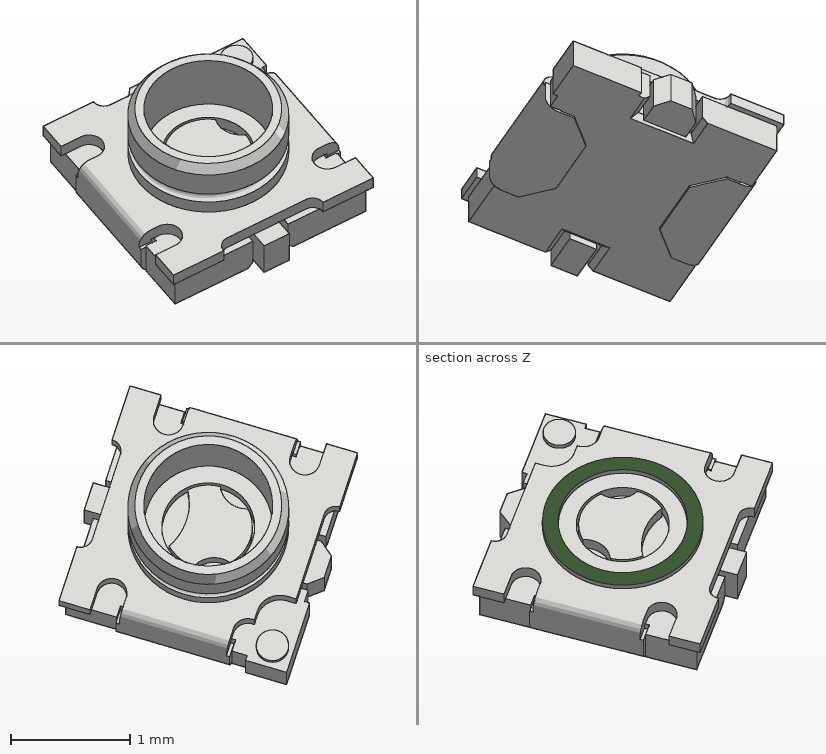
import cadquery as cq

BODY_HALF = 1.0
HEIGHT = 1.0
TERMINAL_REACH = 1.05

SHEET = 0.12
PLATE_BOTTOM = 0.334
PLATE_TOP = PLATE_BOTTOM + SHEET
BARREL_DIA = 1.35
BARREL_RIM_DIA = 1.23
BARREL_BORE_DIA = 1.08
BARREL_BEVEL_HEIGHT = 0.08
GROOVE_BOTTOM = 0.58
GROOVE_RADIUS = 0.05
PLATE_HOLE_DIA = 0.78

SLOT_INNER_X = 0.47
SLOT_OUTER_X = 0.727
SLOT_INNER_END_Y = 0.675
SIDE_EDGE_X = 0.895
SIDE_RECESS_HALF = 0.495
SIDE_RECESS_FILLET = 0.1
CORNER_CUT_X = -0.615
CORNER_CUT_Y = 0.393
CORNER_CUT_FILLET = 0.2

LEG_HALF_WIDTH = 0.5
LEG_SHOULDER_Z = 0.307
FOOT_END_Y = 0.491
FOOT_TAPER_Y = 0.725

HOUSING_HALF = 0.955
HOUSING_BOTTOM = 0.02
MARK_BLOCK_X = -0.638
MARK_BLOCK_Y = 0.353
LEG_SLOT_HALF_WIDTH = 0.506
LEG_SLOT_FLOOR_Y = 0.85
NOTCH_CLEARANCE = 0.05
NOTCH_BEVEL = 0.05
NOTCH_BEVEL_ANGLE = 45

SIGNAL_INNER_X = 0.752
SIGNAL_HALF_WIDTH = 0.2
SIGNAL_TIP_HALF_WIDTH = 0.1
SIGNAL_BEVEL_LENGTH = 0.12
SWITCH_INNER_X = 0.71
SWITCH_HALF_WIDTH = 0.125

MARK_DIA = 0.273
MARK_HEIGHT = 0.042
MARK_X = -0.82
MARK_Y = 0.82
INSULATOR_DIA = 0.74
SIDE_SCALLOP_RADIUS = 0.22
SIDE_SCALLOP_X = -0.193
SIDE_SCALLOP_Y = 0.458
END_SCALLOP_RADIUS = 0.525
END_SCALLOP_X = 0.716


def block(x_min, x_max, y_min, y_max, z_min, z_max):
    """Box between the given limits."""
    size = (x_max - x_min, y_max - y_min, z_max - z_min)
    return cq.Workplane("XY").box(*size, centered=False).translate((x_min, y_min, z_min))


def cylinder(diameter, z_min, z_max, x=0.0, y=0.0):
    """Upright cylinder between two heights."""
    return cq.Workplane("XY", origin=(x, y, z_min)).circle(diameter / 2).extrude(z_max - z_min)


def relief_slot(x_side, y_side):
    """Round-ended slot between a leg and a plate corner, open to the plate edge."""
    width = SLOT_OUTER_X - SLOT_INNER_X
    x_mid = x_side * (SLOT_INNER_X + SLOT_OUTER_X) / 2
    arc_y = SLOT_INNER_END_Y + width / 2
    round_end = cylinder(width, PLATE_BOTTOM, PLATE_TOP, x_mid, y_side * arc_y)
    y_min, y_max = sorted((y_side * arc_y, y_side * BODY_HALF))
    straight = block(x_mid - width / 2, x_mid + width / 2, y_min, y_max, PLATE_BOTTOM, PLATE_TOP)
    return straight.union(round_end)


def plate():
    """Flat square plate with relief slots, side recesses and one corner cut away."""
    body = block(-BODY_HALF, BODY_HALF, -BODY_HALF, BODY_HALF, PLATE_BOTTOM, PLATE_TOP)
    for x_side in (-1, 1):
        recess = (
            block(SIDE_EDGE_X, 2 * BODY_HALF, -SIDE_RECESS_HALF, SIDE_RECESS_HALF, PLATE_BOTTOM, PLATE_TOP)
            .edges("|Z and <X").fillet(SIDE_RECESS_FILLET)
        )
        if x_side < 0:
            recess = recess.mirror("YZ")
        body = body.cut(recess)
    for y_side in (-1, 1):
        y_min, y_max = sorted((y_side * (BODY_HALF - SHEET), y_side * BODY_HALF))
        body = body.cut(block(-SLOT_OUTER_X, SLOT_OUTER_X, y_min, y_max, PLATE_BOTTOM, PLATE_TOP))
        for x_side in (-1, 1):
            body = body.cut(relief_slot(x_side, y_side))
    corner = (
        block(-BODY_HALF, CORNER_CUT_X, CORNER_CUT_Y, BODY_HALF, PLATE_BOTTOM, PLATE_TOP)
        .edges("|Z and >X and <Y").fillet(CORNER_CUT_FILLET)
    )
    return body.cut(corner).cut(cylinder(PLATE_HOLE_DIA, PLATE_BOTTOM, PLATE_TOP))


def barrel():
    """Tube with a bevelled rim and a half-round groove."""
    outer = BARREL_DIA / 2
    bore = BARREL_BORE_DIA / 2
    groove_top = GROOVE_BOTTOM + 2 * GROOVE_RADIUS
    profile = (
        cq.Workplane("XZ")
        .moveTo(bore, PLATE_TOP)
        .lineTo(outer, PLATE_TOP)
        .lineTo(outer, GROOVE_BOTTOM)
        .threePointArc((outer - GROOVE_RADIUS, GROOVE_BOTTOM + GROOVE_RADIUS), (outer, groove_top))
        .lineTo(outer, HEIGHT - BARREL_BEVEL_HEIGHT)
        .lineTo(BARREL_RIM_DIA / 2, HEIGHT)
        .lineTo(bore, HEIGHT)
        .close()
    )
    return profile.revolve(360, (0, 0, 0), (0, 1, 0))


def leg(y_side):
    """Strip bent down from the plate and folded inward under the housing."""
    inner_y = BODY_HALF - SHEET
    strip = (
        cq.Workplane("YZ", origin=(-LEG_HALF_WIDTH, 0, 0))
        .moveTo(inner_y, PLATE_TOP)
        .radiusArc((BODY_HALF, PLATE_BOTTOM), SHEET)
        .lineTo(BODY_HALF, SHEET)
        .radiusArc((inner_y, 0), SHEET)
        .lineTo(FOOT_END_Y, 0)
        .lineTo(FOOT_END_Y, SHEET)
        .lineTo(inner_y, SHEET)
        .close()
        .extrude(2 * LEG_HALF_WIDTH)
    )
    taper = FOOT_TAPER_Y - FOOT_END_Y
    for x_side in (-1, 1):
        x_min, x_max = sorted((x_side * SLOT_INNER_X, x_side * LEG_HALF_WIDTH))
        strip = strip.cut(block(x_min, x_max, 0, BODY_HALF, LEG_SHOULDER_Z, PLATE_TOP))
        foot_corner = (
            cq.Workplane("XY")
            .moveTo(x_side * LEG_HALF_WIDTH, FOOT_TAPER_Y)
            .lineTo(x_side * LEG_HALF_WIDTH, FOOT_END_Y)
            .lineTo(x_side * (LEG_HALF_WIDTH - taper), FOOT_END_Y)
            .close()
            .extrude(SHEET)
        )
        strip = strip.cut(foot_corner)
    if y_side < 0:
        strip = strip.mirror("XZ")
    return strip


legs = [leg(y_side) for y_side in (-1, 1)]
shell = plate().union(barrel())
for bent_leg in legs:
    shell = shell.union(bent_leg)


def terminal_notch(x_side, inner_x, terminal_half_width):
    """Notch around a terminal, with a bevel along its bottom edges."""
    half_width = terminal_half_width + NOTCH_CLEARANCE
    outer_x = 2 * TERMINAL_REACH
    notch = block(inner_x, outer_x, -half_width, half_width, HOUSING_BOTTOM, PLATE_BOTTOM)
    bevel_length = outer_x - inner_x + NOTCH_BEVEL
    bevel_center_x = outer_x - bevel_length / 2
    bevel = (
        cq.Workplane("XY", origin=(bevel_center_x, 0, HOUSING_BOTTOM))
        .rect(bevel_length, 2 * (half_width + NOTCH_BEVEL))
        .extrude(NOTCH_BEVEL, taper=NOTCH_BEVEL_ANGLE)
    )
    notch = notch.union(bevel)
    if x_side < 0:
        notch = notch.mirror("YZ")
    return notch


def make_housing():
    """Moulded base with a corner block, leg slots and terminal notches."""
    body = block(-HOUSING_HALF, HOUSING_HALF, -HOUSING_HALF, HOUSING_HALF, HOUSING_BOTTOM, PLATE_BOTTOM)
    body = body.union(
        block(-BODY_HALF, MARK_BLOCK_X, MARK_BLOCK_Y, BODY_HALF, HOUSING_BOTTOM, PLATE_BOTTOM)
    )
    for y_side, bent_leg in zip((-1, 1), legs):
        y_min, y_max = sorted((y_side * LEG_SLOT_FLOOR_Y, y_side * BODY_HALF))
        slot = block(
            -LEG_SLOT_HALF_WIDTH, LEG_SLOT_HALF_WIDTH, y_min, y_max, HOUSING_BOTTOM, PLATE_BOTTOM
        )
        body = body.cut(slot).cut(bent_leg)
    body = body.cut(terminal_notch(-1, SIGNAL_INNER_X, SIGNAL_HALF_WIDTH))
    return body.cut(terminal_notch(1, SWITCH_INNER_X, SWITCH_HALF_WIDTH))


housing = make_housing()

bevel_start_x = TERMINAL_REACH - SIGNAL_BEVEL_LENGTH
signal_terminal = (
    cq.Workplane("XY")
    .polyline([
        (-SIGNAL_INNER_X, -SIGNAL_HALF_WIDTH),
        (-SIGNAL_INNER_X, SIGNAL_HALF_WIDTH),
        (-bevel_start_x, SIGNAL_HALF_WIDTH),
        (-TERMINAL_REACH, SIGNAL_TIP_HALF_WIDTH),
        (-TERMINAL_REACH, -SIGNAL_TIP_HALF_WIDTH),
        (-bevel_start_x, -SIGNAL_HALF_WIDTH),
    ])
    .close()
    .extrude(PLATE_BOTTOM)
)
switch_terminal = block(
    SWITCH_INNER_X, TERMINAL_REACH, -SWITCH_HALF_WIDTH, SWITCH_HALF_WIDTH, 0, PLATE_BOTTOM
)

mark = cylinder(MARK_DIA, PLATE_BOTTOM, PLATE_BOTTOM + MARK_HEIGHT, MARK_X, MARK_Y)


def make_insulator():
    """Disc with two small scallops and one wide scallop toward +X."""
    disc = cylinder(INSULATOR_DIA, PLATE_BOTTOM, PLATE_TOP)
    for y_side in (-1, 1):
        scallop = cylinder(
            2 * SIDE_SCALLOP_RADIUS, PLATE_BOTTOM, PLATE_TOP, SIDE_SCALLOP_X, y_side * SIDE_SCALLOP_Y
        )
        disc = disc.cut(scallop)
    return disc.cut(cylinder(2 * END_SCALLOP_RADIUS, PLATE_BOTTOM, PLATE_TOP, END_SCALLOP_X))


insulator = make_insulator()

result = cq.Compound.makeCompound([
    housing.val(),
    shell.val(),
    signal_terminal.val(),
    switch_terminal.val(),
    mark.val(),
    insulator.val(),
])